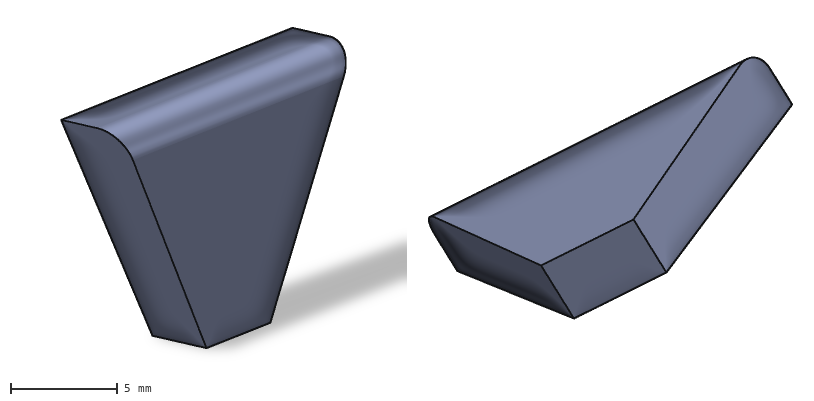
import cadquery as cq

thickness = 3.64
top_width = 18.0
height = 12.2

bottom_width = 4.97
back_setback = 0.45
edge_radius = 1.5


def trapezoid_plate():
    """Symmetric trapezoid in YZ, wide at the top, extruded along +X."""
    outline = [
        (-bottom_width / 2, 0),
        (bottom_width / 2, 0),
        (top_width / 2, height),
        (-top_width / 2, height),
    ]
    return cq.Workplane("YZ").polyline(outline).close().extrude(thickness)


def side_profile():
    """XZ section with a sloping -X face and a rounded top +X edge, spanning the full width."""
    return (
        cq.Workplane("XZ")
        .moveTo(back_setback, 0)
        .lineTo(thickness, 0)
        .lineTo(thickness, height - edge_radius)
        .radiusArc((thickness - edge_radius, height), -edge_radius)
        .lineTo(0, height)
        .close()
        .extrude(top_width / 2, both=True)
    )


result = trapezoid_plate().intersect(side_profile())